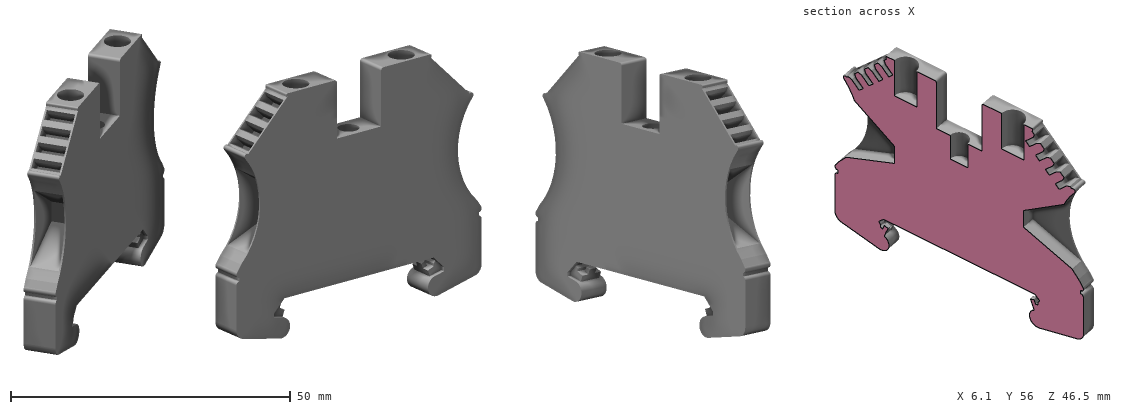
import cadquery as cq
import math

length = 56.0
height = 46.5
thickness = 6.1
mid = length / 2

foot_radius = 1.95
foot_tilt = 12.5
hook_u = 10.3
recess_u = 8.55
recess_wall_top = 5.1
rail_seat_z = 7.5

lip_radius = 0.7
groove_top = 13.8
groove_bottom = 13.1

waist_radius = 14.85
waist_u = 5.45
waist_z = 26.7
bead_radius = 0.5
bead_angle = 39.8

shoulder_offset = 34.2
top_lip_u = 11.4
top_lip_bottom = 45.85
top_lip_radius = 0.3

slot_width = 10.1
slot_floor = 35.3
slot_edge_radius = 0.55

grip_count = 4
grip_top_z = 44.6
grip_pitch = 3.15
grip_mouth = 1.9
grip_throat = 1.2
grip_taper_depth = 0.85
grip_depth = 3.15

side_wall = 0.35
opening_width = thickness - 2 * side_wall
funnel_top = 32.2
funnel_bottom = 17.9
funnel_back_u = 13.45
funnel_back_top = 26.05
funnel_back_bottom = 22.1

tower_hole_diameter = 4.9
tower_hole_y = 12.05
tower_hole_depth = 8.4
middle_hole_diameter = 3.9
middle_hole_depth = 5.6

clip_width = 4.5
clip_head_width = 1.7
clip_overlap = 0.55
clip_base = (10.5, foot_radius)
clip_inner = (11.65, 4.9)
clip_head_start = (10.75, 5.25)
clip_head_outer = (11.15, 6.3)
clip_head_inner = (12.05, 5.95)
clip_step = (10.3, 5.5)
clip_step_rise = 0.5
clip_heel = (9.95, 6.5)


def around(center, radius, degrees):
    """Point on a circle in the (u, z) plane."""
    angle = math.radians(degrees)
    return (center[0] + radius * math.cos(angle), center[1] + radius * math.sin(angle))


def prism(wire, width):
    """Solid of the given width in X, centred on the YZ plane."""
    return wire.close().extrude(width / 2, both=True)


def sketch():
    """Sketch plane whose first coordinate starts at the end face."""
    return cq.Workplane("YZ", origin=(0, -mid, 0))


def waist_depth(z):
    """u of the waist surface at height z."""
    return waist_u - waist_radius + math.sqrt(waist_radius**2 - (z - waist_z) ** 2)


def housing():
    hook = (hook_u, foot_radius)
    corner_rise = (hook_u - foot_radius) * math.tan(math.radians(foot_tilt))
    corner = (foot_radius, foot_radius + corner_rise)
    down = -90 - foot_tilt
    up = 90 - foot_tilt
    hook_top = around(hook, foot_radius, up)
    recess_drop = (hook_top[0] - recess_u) * math.tan(math.radians(foot_tilt))

    waist = (waist_u - waist_radius, waist_z)
    waist_low = around(waist, waist_radius, -45)
    lip = (lip_radius, groove_top + lip_radius)
    lip_top = around(lip, lip_radius, 135)
    lower_edge = (lip_radius, groove_bottom - lip_radius)

    bead = around(waist, waist_radius + bead_radius, bead_angle)
    bead_gap = (bead[1] - bead[0] - shoulder_offset) / math.sqrt(2)
    bead_end = 45 - math.degrees(math.asin(bead_gap / bead_radius))

    tower_u = mid - slot_width / 2
    return prism(
        sketch()
        .moveTo(mid, rail_seat_z)
        .lineTo(recess_u + rail_seat_z - recess_wall_top, rail_seat_z)
        .lineTo(recess_u, recess_wall_top)
        .lineTo(recess_u, hook_top[1] + recess_drop)
        .lineTo(*hook_top)
        .threePointArc(around(hook, foot_radius, -foot_tilt), around(hook, foot_radius, down))
        .lineTo(*around(corner, foot_radius, down))
        .threePointArc(around(corner, foot_radius, (down - 180) / 2), (0, corner[1]))
        .lineTo(0, lower_edge[1])
        .threePointArc(around(lower_edge, lip_radius, 135), (lip_radius, groove_bottom))
        .lineTo(lip_radius, groove_top)
        .threePointArc((0, lip[1]), lip_top)
        .lineTo(*waist_low)
        .threePointArc((waist_u, waist_z), around(waist, waist_radius, bead_angle))
        .threePointArc(around(bead, bead_radius, 135), around(bead, bead_radius, bead_end))
        .lineTo(top_lip_bottom - shoulder_offset, top_lip_bottom)
        .lineTo(top_lip_u, top_lip_bottom)
        .lineTo(top_lip_u, height - top_lip_radius)
        .radiusArc((top_lip_u + top_lip_radius, height), top_lip_radius)
        .lineTo(tower_u - slot_edge_radius, height)
        .radiusArc((tower_u, height - slot_edge_radius), slot_edge_radius)
        .lineTo(tower_u, slot_floor)
        .lineTo(mid, slot_floor),
        thickness,
    )


def grip_slot(z):
    """Cutter for one slot, square to the shoulder and centred at height z."""
    shoulder = cq.Plane(
        origin=(0, z - shoulder_offset - mid, z),
        xDir=(0, 1, 1),
        normal=(1, 0, 0),
    )
    half_mouth = grip_mouth / 2
    half_throat = grip_throat / 2
    return prism(
        cq.Workplane(shoulder)
        .moveTo(-half_mouth, 0)
        .lineTo(-half_throat, -grip_taper_depth)
        .lineTo(-half_throat, -grip_depth)
        .lineTo(half_throat, -grip_depth)
        .lineTo(half_throat, -grip_taper_depth)
        .lineTo(half_mouth, 0),
        opening_width,
    )


def funnel():
    """Cutter for the wire entry, narrowing from the waist to its back wall."""
    return prism(
        sketch()
        .moveTo(0, funnel_bottom)
        .lineTo(waist_depth(funnel_bottom), funnel_bottom)
        .lineTo(funnel_back_u, funnel_back_bottom)
        .lineTo(funnel_back_u, funnel_back_top)
        .lineTo(waist_depth(funnel_top), funnel_top)
        .lineTo(0, funnel_top),
        opening_width,
    )


def clip():
    """Narrow spring clip standing on the hook, with a narrower head at its free end."""
    buried_u = recess_u - clip_overlap
    body = prism(
        sketch()
        .moveTo(buried_u, recess_wall_top)
        .lineTo(*clip_heel)
        .lineTo(clip_step[0], clip_step[1] + clip_step_rise)
        .lineTo(*clip_step)
        .lineTo(*clip_head_start)
        .lineTo(*clip_inner)
        .lineTo(*clip_base)
        .lineTo(buried_u, foot_radius),
        clip_width,
    )
    head = prism(
        sketch()
        .moveTo(*clip_head_start)
        .lineTo(*clip_head_outer)
        .lineTo(*clip_head_inner)
        .lineTo(*clip_inner),
        clip_head_width,
    )
    return body.union(head)


def hole(y, top, diameter, depth):
    return cq.Workplane("XY", origin=(0, y, top)).circle(diameter / 2).extrude(-depth)


half = housing().union(clip()).cut(funnel())
for index in range(grip_count):
    half = half.cut(grip_slot(grip_top_z - index * grip_pitch / math.sqrt(2)))

result = half.union(half.mirror("XZ")).clean()
for side in (-1, 1):
    result = result.cut(hole(side * tower_hole_y, height, tower_hole_diameter, tower_hole_depth))
result = result.cut(hole(0, slot_floor, middle_hole_diameter, middle_hole_depth))